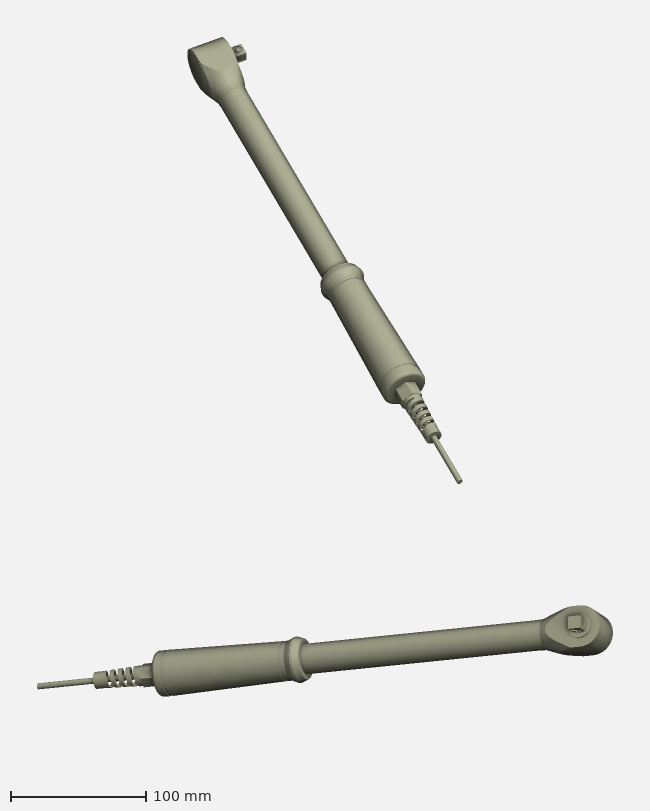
import cadquery as cq

TOTAL_LENGTH = 452.0

HEAD_RADIUS = 16.0
HEAD_THICKNESS = 26.5
HEAD_CENTER_X = HEAD_RADIUS
CAP_RADIUS = 15.5
CAP_HEIGHT = 0.23
CONE_START_X = 18.0
CONE_END_X = 49.0
CONE_SLOPE = 0.36
COLLAR_END_X = 52.5
COLLAR_STEP = 0.23

DRIVE_TIP_Y = 25.5
DRIVE_SIDE = 9.5
DRIVE_CORNER_DIAMETER = 12.5
DRIVE_BASE_DIAMETER = 17.5
DRIVE_BASE_HEIGHT = 1.5
DRIVE_NECK_DIAMETER = 11.0
DRIVE_NECK_END_Y = 16.0
DETENT_Y = 20.5
BALL_DIAMETER = 4.35
BALL_PROTRUSION = 1.5
DIMPLE_DIAMETER = 7.5
DIMPLE_DEPTH = 1.0

TUBE_RADIUS = 11.5
GRIP_START_X = 239.0
GRIP_END_X = 356.0
GRIP_RADIUS = 17.0
GRIP_FRONT_RADIUS = 15.5
BEAD_START_X = 244.0
BEAD_END_X = 246.0
WAIST_START_X = 251.0
WAIST_RADIUS = 15.0
FRONT_GROOVE_START_X = 254.0
FRONT_GROOVE_WIDTH = 1.5
REAR_GROOVE_START_X = 346.0
REAR_GROOVE_WIDTH = 2.5
GRIP_GROOVE_DEPTH = 0.5
GRIP_END_FILLET = 2.5

NUT_END_X = 368.0
NUT_ACROSS_CORNERS = 18.0
RING_END_X = 370.7
RING_RADIUS = 7.5
RELIEF_END_X = 400.0
RELIEF_BORE_RADIUS = 5.5
END_RING_END_X = 406.0
END_RING_RADIUS = 6.5
CABLE_RADIUS = 2.3
COIL_SLOT_START_X = 370.5
COIL_SLOT_WIDTH = 3.0
COIL_PITCH = 6.5
COIL_TURNS = 4.5


def rod(start_x, end_x, radius):
    """Cylinder along the tool axis."""
    return cq.Workplane("YZ", origin=(start_x, 0, 0)).circle(radius).extrude(end_x - start_x)


def pin(start_y, end_y, radius):
    """Cylinder along Y through the centre of the head."""
    base = cq.Workplane("XZ", origin=(HEAD_CENTER_X, start_y, 0))
    return base.circle(radius).extrude(start_y - end_y)


def make_head():
    half = HEAD_THICKNESS / 2
    round_end = pin(-half, half, HEAD_RADIUS)
    block_length = COLLAR_END_X - HEAD_CENTER_X
    block = cq.Workplane("XY").box(block_length, HEAD_THICKNESS, 2 * HEAD_RADIUS)
    block = block.translate((HEAD_CENTER_X + block_length / 2, 0, 0))
    collar_radius = TUBE_RADIUS + COLLAR_STEP
    cone_start_radius = collar_radius + CONE_SLOPE * (CONE_END_X - CONE_START_X)
    envelope = (
        cq.Workplane("XY")
        .moveTo(HEAD_CENTER_X, 0)
        .lineTo(HEAD_CENTER_X, cone_start_radius)
        .lineTo(CONE_START_X, cone_start_radius)
        .lineTo(CONE_END_X, collar_radius)
        .lineTo(COLLAR_END_X, collar_radius)
        .lineTo(COLLAR_END_X, 0)
        .close()
        .revolve(360, (0, 0, 0), (1, 0, 0))
    )
    cap = pin(-half - CAP_HEIGHT, 0, CAP_RADIUS)
    return block.intersect(envelope).union(round_end).union(cap)


def make_drive():
    face_y = HEAD_THICKNESS / 2
    base_top_y = face_y + DRIVE_BASE_HEIGHT
    base = pin(0, base_top_y, DRIVE_BASE_DIAMETER / 2)
    neck = pin(0, DRIVE_NECK_END_Y, DRIVE_NECK_DIAMETER / 2)
    square = cq.Workplane("XY").box(DRIVE_SIDE, DRIVE_TIP_Y, DRIVE_SIDE)
    square = square.translate((HEAD_CENTER_X, DRIVE_TIP_Y / 2, 0))
    square = square.intersect(pin(0, DRIVE_TIP_Y, DRIVE_CORNER_DIAMETER / 2))

    dimple = (
        cq.Workplane("XY", origin=(HEAD_CENTER_X, DETENT_Y, DRIVE_SIDE / 2 - DIMPLE_DEPTH))
        .circle(DIMPLE_DIAMETER / 2)
        .extrude(DRIVE_SIDE)
    )
    for angle in (0, 90, 180, 270):
        square = square.cut(dimple.rotate((HEAD_CENTER_X, 0, 0), (HEAD_CENTER_X, 1, 0), angle))
    ball_z = DRIVE_SIDE / 2 + BALL_PROTRUSION - BALL_DIAMETER / 2
    ball = cq.Workplane("XY").sphere(BALL_DIAMETER / 2).translate((HEAD_CENTER_X, DETENT_Y, ball_z))
    return base.union(neck).union(square).union(ball)


def make_grip():
    front_groove_end_x = FRONT_GROOVE_START_X + FRONT_GROOVE_WIDTH
    front_groove_radius = WAIST_RADIUS - GRIP_GROOVE_DEPTH
    rear_groove_end_x = REAR_GROOVE_START_X + REAR_GROOVE_WIDTH
    rear_groove_radius = GRIP_RADIUS - GRIP_GROOVE_DEPTH
    corner_x = GRIP_END_X - GRIP_END_FILLET
    profile = (
        cq.Workplane("XY")
        .moveTo(GRIP_START_X, 0)
        .lineTo(GRIP_START_X, GRIP_FRONT_RADIUS)
        .lineTo(BEAD_START_X, GRIP_RADIUS)
        .lineTo(BEAD_END_X, GRIP_RADIUS)
        .lineTo(WAIST_START_X, WAIST_RADIUS)
        .lineTo(FRONT_GROOVE_START_X, WAIST_RADIUS)
        .lineTo(FRONT_GROOVE_START_X, front_groove_radius)
        .lineTo(front_groove_end_x, front_groove_radius)
        .lineTo(front_groove_end_x, WAIST_RADIUS)
        .lineTo(REAR_GROOVE_START_X, GRIP_RADIUS)
        .lineTo(REAR_GROOVE_START_X, rear_groove_radius)
        .lineTo(rear_groove_end_x, rear_groove_radius)
        .lineTo(rear_groove_end_x, GRIP_RADIUS)
        .lineTo(corner_x, GRIP_RADIUS)
        .radiusArc((GRIP_END_X, GRIP_RADIUS - GRIP_END_FILLET), GRIP_END_FILLET)
        .lineTo(GRIP_END_X, 0)
        .close()
    )
    return profile.revolve(360, (0, 0, 0), (1, 0, 0))


def make_relief():
    """Tapered sleeve around the cable, opened into a coil by a right-hand helical slot."""
    sleeve = (
        cq.Workplane("XY")
        .moveTo(RING_END_X, RELIEF_BORE_RADIUS)
        .lineTo(RING_END_X, RING_RADIUS)
        .lineTo(RELIEF_END_X, END_RING_RADIUS)
        .lineTo(RELIEF_END_X, RELIEF_BORE_RADIUS)
        .close()
        .revolve(360, (0, 0, 0), (1, 0, 0))
    )
    slot_depth = 2 * (RING_RADIUS - RELIEF_BORE_RADIUS)
    slot_radius = (RING_RADIUS + RELIEF_BORE_RADIUS) / 2
    helix = cq.Wire.makeHelix(COIL_PITCH, COIL_PITCH * COIL_TURNS, slot_radius)
    slot = (
        cq.Workplane("XZ", origin=(slot_radius, 0, 0))
        .rect(slot_depth, COIL_SLOT_WIDTH)
        .sweep(cq.Workplane(obj=helix), isFrenet=True)
        .rotate((0, 0, 0), (0, 1, 0), 90)
        .rotate((0, 0, 0), (1, 0, 0), 180)
        .translate((COIL_SLOT_START_X, 0, 0))
    )
    return sleeve.cut(slot)


def make_gland():
    nut = (
        cq.Workplane("YZ", origin=(GRIP_END_X, 0, 0))
        .polygon(6, NUT_ACROSS_CORNERS)
        .extrude(NUT_END_X - GRIP_END_X)
        .rotate((0, 0, 0), (1, 0, 0), 90)
    )
    ring = rod(NUT_END_X, RING_END_X, RING_RADIUS)
    end_ring = rod(RELIEF_END_X, END_RING_END_X, END_RING_RADIUS)
    cable = rod(NUT_END_X, TOTAL_LENGTH, CABLE_RADIUS)
    return nut.union(ring).union(make_relief()).union(end_ring).union(cable)


tube = rod(CONE_END_X, GRIP_START_X, TUBE_RADIUS)
result = make_head().union(make_drive()).union(tube).union(make_grip()).union(make_gland())